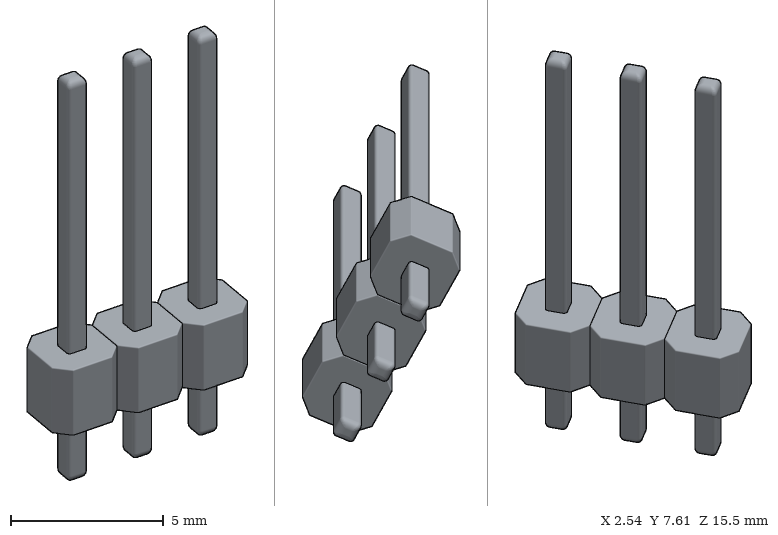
import cadquery as cq

PIN_COUNT = 3
ROW_LENGTH = 7.61
TOTAL_HEIGHT = 15.54
PITCH = ROW_LENGTH / PIN_COUNT

HOUSING_SIZE = PITCH
CORNER_CUT = 0.51
HOUSING_EDGE_RADIUS = 0.05

PIN_WIDTH = 0.75
PIN_EDGE_RADIUS = 0.12
PIN_TIP_RADIUS = 0.26
LOWER_PIN_LENGTH = 2.5
UPPER_PIN_LENGTH = TOTAL_HEIGHT - HOUSING_SIZE - LOWER_PIN_LENGTH

HOUSING_BOTTOM = LOWER_PIN_LENGTH
HOUSING_TOP = HOUSING_BOTTOM + HOUSING_SIZE


def make_housing(y):
    """Octagonal block with all of its edges slightly rounded."""
    return (
        cq.Workplane("XY", origin=(0, y, HOUSING_BOTTOM))
        .rect(HOUSING_SIZE, HOUSING_SIZE)
        .extrude(HOUSING_SIZE)
        .edges("|Z")
        .chamfer(CORNER_CUT)
        .edges()
        .fillet(HOUSING_EDGE_RADIUS)
    )


def make_pin(length):
    """Square pin rising from Z = 0, with a domed tip and rounded long edges."""
    return (
        cq.Workplane("XY")
        .rect(PIN_WIDTH, PIN_WIDTH)
        .extrude(length)
        .faces(">Z")
        .edges()
        .fillet(PIN_TIP_RADIUS)
        .edges("|Z")
        .fillet(PIN_EDGE_RADIUS)
    )


def make_upper_pin(y):
    """Long pin standing on top of a housing block."""
    return make_pin(UPPER_PIN_LENGTH).translate((0, y, HOUSING_TOP))


def make_lower_pin(y):
    """Short pin hanging tip down below a housing block."""
    hanging_pin = make_pin(LOWER_PIN_LENGTH).mirror("XY")
    return hanging_pin.translate((0, y, HOUSING_BOTTOM))


bodies = []
for index in range(PIN_COUNT):
    row_y = (index - (PIN_COUNT - 1) / 2) * PITCH
    bodies.append(make_housing(row_y).solids().val())
    bodies.append(make_upper_pin(row_y).solids().val())
    bodies.append(make_lower_pin(row_y).solids().val())

result = cq.Compound.makeCompound(bodies)